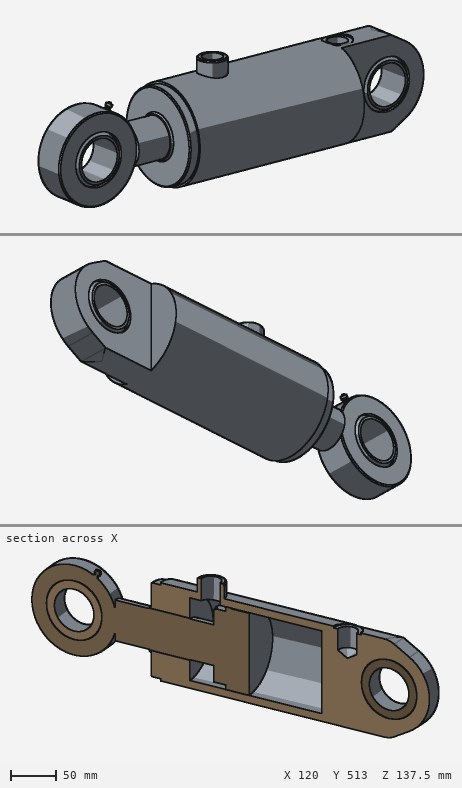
import cadquery as cq
import math


eye_distance = 405.5
tube_diameter = 120.0
bore_diameter = 100.0
tube_rear_y = -63.0
tube_front_y = -294.5
bore_rear_y = -87.0

gland_diameter = 115.0
gland_front_y = -306.5
gland_inner_y = -256.5
gland_chamfer = 1.5
lip_base_diameter = 56.5
lip_tip_diameter = 53.0
lip_length = 2.5

eye_thickness = 39.5
rear_eye_radius = 52.5
tab_slope = 30.0
tab_blend_radius = 24.5

port_diameter = 35.0
port_hole_diameter = 24.0
port_top_z = 77.5
port_chamfer = 1.5
front_port_y = -229.5
rear_port_y = -54.0
spotface_z = 58.0
rear_port_depth = 25.5
drill_point_angle = 118.0

rod_diameter = 50.0
rod_front_y = -353.0
piston_front_y = -226.0
piston_nose_diameter = 90.0
piston_nose_length = 15.5
piston_length = 46.0
drill_mark_diameter = 15.0
front_eye_radius = 55.0
front_eye_chamfer = 1.5

nipple_angle = 60.0
nipple_root = 51.5
nipple_base_end = 56.5
nipple_neck_end = 58.5
nipple_head_end = 62.0
nipple_tip_end = 63.5
nipple_base_diameter = 6.0
nipple_neck_diameter = 4.0
nipple_head_diameter = 7.5
nipple_tip_diameter = 3.0

bearing_bore = 50.0
bearing_width = 42.5
bearing_end_diameter = 56.5
bearing_mouth_diameter = 64.0

tube_radius = tube_diameter / 2
ball_radius = math.hypot(bearing_width / 2, bearing_end_diameter / 2)


def rod_along_y(diameter, rear_y, front_y):
    """Solid cylinder on the Y axis between two stations."""
    return cq.Workplane("XZ", origin=(0, rear_y, 0)).circle(diameter / 2).extrude(rear_y - front_y)


def disc_along_x(radius, thickness, y):
    """Solid disc centred on X = 0, with its axis along X through the given Y."""
    return cq.Workplane("YZ", origin=(0, y, 0)).circle(radius).extrude(thickness / 2, both=True)


def drill(diameter, y, top_z, depth):
    """Vertical drilled hole with a pointed end; depth is measured to the start of the point."""
    radius = diameter / 2
    point = radius / math.tan(math.radians(drill_point_angle / 2))
    return (
        cq.Workplane("XZ", origin=(0, y, 0))
        .moveTo(0, top_z)
        .lineTo(radius, top_z)
        .lineTo(radius, top_z - depth)
        .lineTo(0, top_z - depth - point)
        .close()
        .revolve(360, (0, 0, 0), (0, 1, 0))
    )


def bearing_seat(y):
    """Spherical pocket for a bearing, open to both sides through a cylindrical mouth."""
    mouth_radius = bearing_mouth_diameter / 2
    mouth_x = math.sqrt(ball_radius**2 - mouth_radius**2)
    return (
        cq.Workplane("XY", origin=(0, y, 0))
        .moveTo(-bearing_width / 2, 0)
        .lineTo(-bearing_width / 2, mouth_radius)
        .lineTo(-mouth_x, mouth_radius)
        .threePointArc((0, ball_radius), (mouth_x, mouth_radius))
        .lineTo(bearing_width / 2, mouth_radius)
        .lineTo(bearing_width / 2, 0)
        .close()
        .revolve(360, (0, 0, 0), (1, 0, 0))
    )


def make_bearing(y):
    """Ball cut flat at both ends, with a pin bore through it."""
    end_radius = bearing_end_diameter / 2
    half_width = bearing_width / 2
    return (
        cq.Workplane("XY", origin=(0, y, 0))
        .moveTo(-half_width, bearing_bore / 2)
        .lineTo(-half_width, end_radius)
        .threePointArc((0, ball_radius), (half_width, end_radius))
        .lineTo(half_width, bearing_bore / 2)
        .close()
        .revolve(360, (0, 0, 0), (1, 0, 0))
    )


def make_rear_tab():
    """Rounded tab within the tube's cylinder, its flats sloping from the round end to the top and bottom."""
    slope = math.radians(tab_slope)
    tangent_y = rear_eye_radius * math.sin(slope)
    tangent_z = rear_eye_radius * math.cos(slope)
    corner_y = tangent_y - (tube_radius - tangent_z) / math.tan(slope)
    blend_length = tab_blend_radius * math.tan(slope / 2)
    blend_flat_y = corner_y - blend_length
    blend_slope_y = corner_y + blend_length * math.cos(slope)
    blend_slope_z = tube_radius - blend_length * math.sin(slope)
    profile = (
        cq.Workplane("YZ")
        .moveTo(tube_rear_y, -tube_radius)
        .lineTo(blend_flat_y, -tube_radius)
        .tangentArcPoint((blend_slope_y, -blend_slope_z), relative=False)
        .lineTo(tangent_y, -tangent_z)
        .threePointArc((rear_eye_radius, 0), (tangent_y, tangent_z))
        .lineTo(blend_slope_y, blend_slope_z)
        .tangentArcPoint((blend_flat_y, tube_radius), relative=False)
        .lineTo(tube_rear_y, tube_radius)
        .close()
        .extrude(eye_thickness / 2, both=True)
    )
    return profile.intersect(rod_along_y(tube_diameter, rear_eye_radius, tube_rear_y))


def make_gland():
    """Front closure of the barrel: collar and tapered wiper lip."""
    collar = rod_along_y(gland_diameter, tube_front_y, gland_front_y)
    collar = collar.faces("<Y").edges().chamfer(gland_chamfer)
    lip = (
        cq.Workplane("XZ", origin=(0, gland_front_y, 0))
        .circle(lip_base_diameter / 2)
        .workplane(offset=lip_length)
        .circle(lip_tip_diameter / 2)
        .loft()
    )
    return collar.union(lip)


def make_barrel():
    """Tube with rear tab, front gland, two ports and the rear bearing seat."""
    tube = rod_along_y(tube_diameter, tube_rear_y, tube_front_y)
    port = cq.Workplane("XY", origin=(0, front_port_y, 0)).circle(port_diameter / 2).extrude(port_top_z)
    port = port.faces(">Z").edges().chamfer(port_chamfer)
    body = tube.union(make_rear_tab()).union(make_gland()).union(port)

    body = body.cut(rod_along_y(bore_diameter, bore_rear_y, gland_inner_y))
    body = body.cut(rod_along_y(rod_diameter, bore_rear_y, rod_front_y))
    front_hole = cq.Workplane("XY", origin=(0, front_port_y, 0))
    body = body.cut(front_hole.circle(port_hole_diameter / 2).extrude(port_top_z))

    spotface = cq.Workplane("XY", origin=(0, rear_port_y, spotface_z))
    body = body.cut(spotface.circle(port_diameter / 2).extrude(tube_radius))
    body = body.cut(drill(port_hole_diameter, rear_port_y, spotface_z, rear_port_depth))
    return body.cut(bearing_seat(0))


def make_nipple():
    """Stepped grease nipple standing radially on the front eye, leaning toward the tube."""
    angle = math.radians(nipple_angle)
    axis = cq.Vector(0, math.cos(angle), math.sin(angle))
    centre = cq.Vector(0, -eye_distance, 0)
    steps = [
        (nipple_base_diameter, nipple_root, nipple_base_end),
        (nipple_neck_diameter, nipple_base_end, nipple_neck_end),
        (nipple_head_diameter, nipple_neck_end, nipple_head_end),
        (nipple_tip_diameter, nipple_head_end, nipple_tip_end),
    ]
    nipple = cq.Workplane("XY")
    for diameter, start, end in steps:
        step = cq.Solid.makeCylinder(diameter / 2, end - start, centre + axis * start, axis)
        nipple = nipple.union(cq.Workplane(step))
    return nipple


def make_rod():
    """Rod with its piston, front eye and grease nipple."""
    piston_rear_y = piston_front_y + piston_length
    nose_rear_y = piston_front_y + piston_nose_length
    rod = rod_along_y(rod_diameter, piston_front_y, rod_front_y)
    piston = rod_along_y(bore_diameter, piston_rear_y, nose_rear_y)
    nose = rod_along_y(piston_nose_diameter, nose_rear_y, piston_front_y)
    mark_depth = tube_radius - piston_nose_diameter / 2
    nose = nose.cut(drill(drill_mark_diameter, front_port_y, tube_radius, mark_depth))

    eye = disc_along_x(front_eye_radius, eye_thickness, -eye_distance)
    eye = eye.faces("<X or >X").edges().chamfer(front_eye_chamfer)
    body = rod.union(piston).union(nose).union(eye).union(make_nipple())
    return body.cut(bearing_seat(-eye_distance))


barrel = make_barrel()
rod = make_rod()
bearings = [make_bearing(y) for y in (0, -eye_distance)]

result = cq.Compound.makeCompound([barrel.val(), rod.val(), *[bearing.val() for bearing in bearings]])